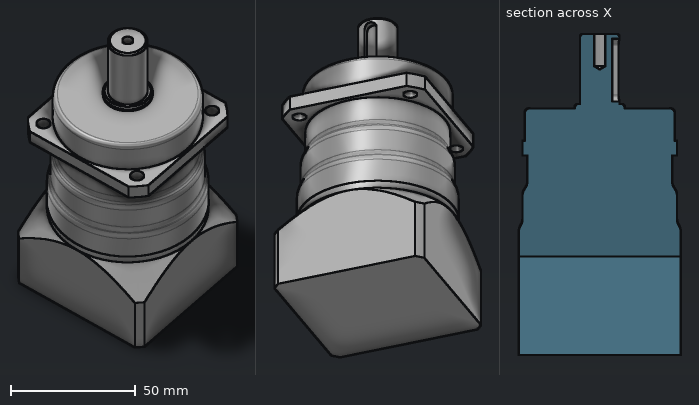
import cadquery as cq
import math

base_side = 65.0
base_corner_radius = 44.0
neck_bottom_z = 36.4
split_z = 39.6

barrel_radius = base_side / 2
ring_radius = 31.0
throat_radius = 29.1
lower_shoulder_z = 49.5
upper_shoulder_z = 64.1
lower_shoulder_arc = 4.9
upper_shoulder_arc = 4.4
lower_shoulder_angle = math.radians(30)
upper_shoulder_angle = math.radians(32)

flange_side = 2 * ring_radius
flange_corner_radius = 40.0
flange_top_z = 86.0
flange_thickness = 6.0
flange_bottom_z = flange_top_z - flange_thickness
bolt_circle_radius = 34.0
bolt_hole_diameter = 5.5
bolt_angles = (45, 135, 225, 315)

pilot_radius = 30.1
pilot_top_z = 99.0
pilot_fillet = 1.9

collar_radius = 10.0
collar_top_z = 100.6
collar_chamfer = 0.8

shaft_radius = 8.0
shaft_top_z = 128.7
shaft_chamfer = 0.8
center_hole_diameter = 4.4
center_hole_depth = 12.9
drill_tip_angle = math.radians(118)

keyway_width = 5.0
keyway_length = 25.0
keyway_depth = 3.0
keyway_end_gap = 2.0
keyway_top_z = shaft_top_z - keyway_end_gap


def cylinder(radius, bottom_z, top_z):
    """Upright cylinder on the main axis."""
    return cq.Workplane("XY").workplane(offset=bottom_z).circle(radius).extrude(top_z - bottom_z)


def rounded_square(side, corner_radius, bottom_z, top_z):
    """Square plate whose corners are turned to a radius about the main axis."""
    square = cq.Workplane("XY").workplane(offset=bottom_z).rect(side, side).extrude(top_z - bottom_z)
    return square.intersect(cylinder(corner_radius, bottom_z, top_z))


def add_shoulder(outline, outer_radius, inner_radius, bottom_z, arc_radius, slope):
    """Step inwards going up: convex arc, straight slope, then concave arc."""
    arc_rise = arc_radius * math.sin(slope)
    arc_inset = arc_radius * (1 - math.cos(slope))
    half_rise = arc_radius * math.sin(slope / 2)
    half_inset = arc_radius * (1 - math.cos(slope / 2))
    slope_rise = (outer_radius - inner_radius - 2 * arc_inset) / math.tan(slope)
    slope_top_z = bottom_z + arc_rise + slope_rise
    top_z = slope_top_z + arc_rise
    return (
        outline.lineTo(outer_radius, bottom_z)
        .threePointArc(
            (outer_radius - half_inset, bottom_z + half_rise),
            (outer_radius - arc_inset, bottom_z + arc_rise),
        )
        .lineTo(inner_radius + arc_inset, slope_top_z)
        .threePointArc((inner_radius + half_inset, top_z - half_rise), (inner_radius, top_z))
    )


def make_adapter():
    """Square block with corners sloped down from the round neck at 45 degrees."""
    cone_drop = base_corner_radius - barrel_radius
    block = rounded_square(base_side, base_corner_radius, 0, neck_bottom_z)
    envelope = (
        cq.Workplane("XZ")
        .moveTo(0, 0)
        .lineTo(base_corner_radius, 0)
        .lineTo(base_corner_radius, neck_bottom_z - cone_drop)
        .lineTo(barrel_radius, neck_bottom_z)
        .lineTo(0, neck_bottom_z)
        .close()
        .revolve(360, (0, 0, 0), (0, 1, 0))
    )
    neck = cylinder(barrel_radius, neck_bottom_z, split_z)
    return block.intersect(envelope).union(neck)


def make_barrel():
    """Stepped round body from the adapter joint up to the flange."""
    outline = cq.Workplane("XZ").moveTo(0, split_z).lineTo(barrel_radius, split_z)
    outline = add_shoulder(
        outline, barrel_radius, ring_radius, lower_shoulder_z, lower_shoulder_arc, lower_shoulder_angle
    )
    outline = add_shoulder(
        outline, ring_radius, throat_radius, upper_shoulder_z, upper_shoulder_arc, upper_shoulder_angle
    )
    outline = outline.lineTo(throat_radius, flange_bottom_z).lineTo(0, flange_bottom_z).close()
    return outline.revolve(360, (0, 0, 0), (0, 1, 0))


def make_flange():
    """Square mounting flange with one through hole near each corner."""
    flange = rounded_square(flange_side, flange_corner_radius, flange_bottom_z, flange_top_z)
    for angle in bolt_angles:
        hole = cylinder(bolt_hole_diameter / 2, flange_bottom_z, flange_top_z)
        flange = flange.cut(hole.translate((bolt_circle_radius, 0, 0)).rotate((0, 0, 0), (0, 0, 1), angle))
    return flange


def make_center_hole():
    """Drilled hole in the shaft end with a conical bottom."""
    radius = center_hole_diameter / 2
    floor_z = shaft_top_z - center_hole_depth
    tip_z = floor_z - radius / math.tan(drill_tip_angle / 2)
    return (
        cq.Workplane("XZ")
        .moveTo(0, tip_z)
        .lineTo(radius, floor_z)
        .lineTo(radius, shaft_top_z)
        .lineTo(0, shaft_top_z)
        .close()
        .revolve(360, (0, 0, 0), (0, 1, 0))
    )


def make_keyway():
    """Round-ended key slot on the +Y side of the shaft."""
    return (
        cq.Workplane("XZ", origin=(0, shaft_radius, keyway_top_z - keyway_length / 2))
        .slot2D(keyway_length, keyway_width, 90)
        .extrude(keyway_depth)
    )


def make_shaft():
    """Output shaft with chamfered end, center hole and keyway."""
    shaft = cylinder(shaft_radius, collar_top_z, shaft_top_z).faces(">Z").chamfer(shaft_chamfer)
    return shaft.cut(make_center_hole()).cut(make_keyway())


def make_gearbox():
    """Barrel, flange, pilot, collar and shaft as one solid."""
    pilot = cylinder(pilot_radius, flange_top_z, pilot_top_z).faces(">Z").edges().fillet(pilot_fillet)
    collar = cylinder(collar_radius, pilot_top_z, collar_top_z).faces(">Z").chamfer(collar_chamfer)
    return make_barrel().union(make_flange()).union(pilot).union(collar).union(make_shaft())


adapter = make_adapter().solids()
gearbox = make_gearbox().solids()
result = cq.Compound.makeCompound([adapter.val(), gearbox.val()])